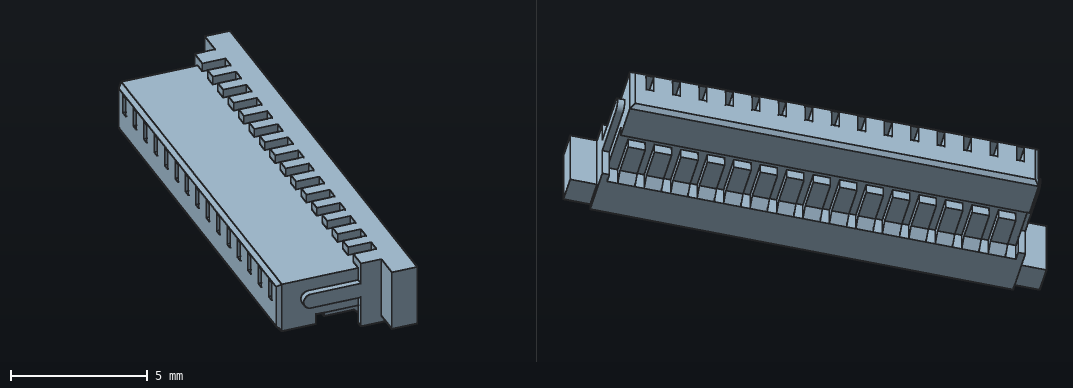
import cadquery as cq

length = 18.0
depth = 5.0
height = 2.7

contact_count = 15
housing_pitches = 18
pitch = length / housing_pitches

ear_length = 1.0
ear_thickness = 1.0
ear_bottom = 0.27
flange_thickness = 1.82
flange_length = length - 2 * ear_length
flange_front = depth - flange_thickness

end_wall = 0.27
body_length = flange_length - 2 * end_wall
body_inset = 0.35
body_bottom = body_inset
body_top = height - body_inset
nose_chamfer = 0.16

nose_depth = 1.51
underside = 0.75
tooth_width = 0.65
tooth_front = 2.0
tooth_run = body_bottom
recess_back = flange_front + tooth_run

rail_width = 0.6
rail_tip = 0.92
rail_height = 1.55

slot_width = 0.29
slot_bottom = 1.39
slot_top = 2.15
notch_width = 0.5
rear_strip = 0.9
notch_back = depth - rear_strip


def block(x_size, y_start, y_end, z_start, z_end, x_centre=0.0):
    """Box centred on x_centre, spanning the given Y and Z ranges."""
    box = cq.Workplane("XY").box(x_size, y_end - y_start, z_end - z_start, centered=(True, False, False))
    return box.translate((x_centre, y_start, z_start))


def make_flange():
    ears = block(length, depth - ear_thickness, depth, ear_bottom, height)
    return block(flange_length, flange_front, depth, 0, height).union(ears)


def make_body():
    body = block(body_length, 0, flange_front, body_bottom, body_top)
    return body.faces("<Y").edges().chamfer(nose_chamfer)


def make_rails():
    """Round-tipped bar reaching across the body, so that a rail stands out at each end."""
    radius = rail_width / 2
    tip_centre = rail_tip + radius
    bar = block(flange_length, tip_centre, flange_front, rail_height - radius, rail_height + radius)
    tip = (
        cq.Workplane("YZ")
        .center(tip_centre, rail_height)
        .circle(radius)
        .extrude(flange_length / 2, both=True)
    )
    return bar.union(tip)


def make_tooth(x_centre):
    """Tooth under one contact, its rear end sloping down to the bottom of the flange."""
    return (
        cq.Workplane("YZ")
        .moveTo(tooth_front, underside)
        .lineTo(tooth_front, body_bottom)
        .lineTo(flange_front, body_bottom)
        .lineTo(recess_back, 0)
        .lineTo(recess_back, underside)
        .close()
        .extrude(tooth_width / 2, both=True)
        .translate((x_centre, 0, 0))
    )


contact_places = [(i - (contact_count - 1) / 2) * pitch for i in range(contact_count)]

result = make_flange().union(make_body()).union(make_rails())

result = result.cut(block(body_length, nose_depth, recess_back, 0, underside))

for x in contact_places:
    result = result.union(make_tooth(x))

for x in contact_places:
    result = result.cut(block(slot_width, 0, depth, slot_bottom, slot_top, x))
    result = result.cut(block(notch_width, flange_front, notch_back, body_top, height, x))